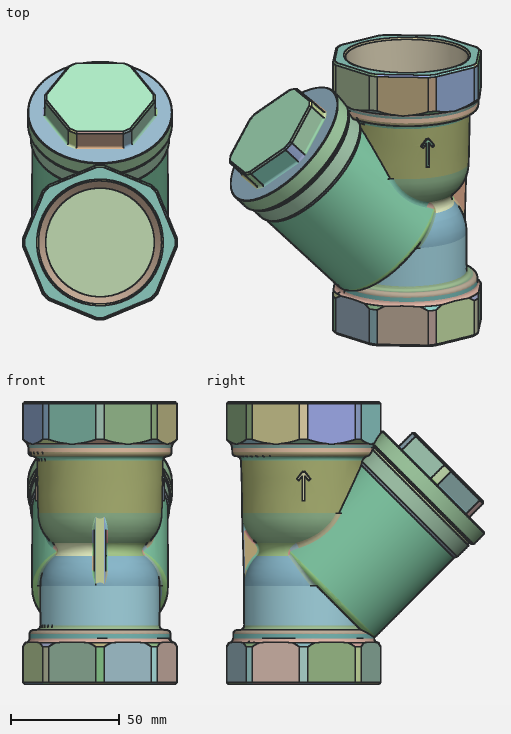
import cadquery as cq
import math

half_length = 65.0
nut_across_flats = 67.0
nut_corner_radius = 35.5
nut_edge_chamfer = 0.9
nut_shoulder = 47.7
nut_base = 45.8
upper_nut_foot = 45.05
upper_nut_foot_radius = 33.35
collar_shoulder = 43.85
collar_end = 39.9
blend_radius = 2.0

upper_collar_radius = 33.0
lower_collar_radius = 32.5
upper_body_radius = 29.0
upper_body_foot_radius = 28.5
lower_body_radius = 27.5

waist_blend_radius = 4.0
waist_z = -3.0
waist_radius = 20.55
upper_dome_z = 13.8
lower_dome_z = -19.7
waist_disc_radius = 45.0

thread_radius = 56.66 / 2
thread_depth = 19.5
socket_radius = 50.0 / 2
socket_depth = 29.7
mouth_chamfer = 0.8

branch_tilt = 45.0
branch_axis_z = -31.8
branch_radius = 31.3
branch_foot = 12.8
branch_foot_round = 2.8
branch_root_round = 2.0
neck_radius = 32.0
neck_start = 66.6
neck_shoulder = 68.0
neck_end = 75.3
neck_groove_radius = 31.3
cap_flange_radius = 66.5 / 2
cap_flange_base = 76.6
cap_flange_top = 84.72
cap_flange_chamfer = 0.3
cap_flange_base_chamfer = 0.8
cap_hex_top = 94.5
cap_hex_across_flats = 46.0
cap_hex_corner_radius = 25.4
cap_hex_chamfer = 0.8
cap_hex_foot_round = 1.0

rib_width = 5.3
rib_face_inset = 0.1
rib_inner_y = -18.0
rib_root_round = 1.1
rib_edge_round = 0.7

arrow_width = 1.2
arrow_bottom = 19.4
arrow_tip = 32.6
arrow_barb_length = 4.4
arrow_barb_angle = 38.0
arrow_outer_x = 29.6
arrow_inner_x = 27.0


def polygon_prism(sides, across_flats, bottom, top, turn):
    """Regular prism along Z, its first corner turned from +X by the given angle."""
    corner_diameter = across_flats / math.cos(math.pi / sides)
    prism = cq.Workplane("XY").workplane(offset=bottom).polygon(sides, corner_diameter)
    return prism.extrude(top - bottom).rotate((0, 0, 0), (0, 0, 1), turn)


def revolve_about_z(profile):
    """Close a (radius, z) profile drawn in the XZ plane and spin it about Z."""
    return profile.close().revolve(360, (0, 0, 0), (0, 1, 0))


def make_nut(turned_profile, end_face):
    """Octagonal end, limited by the turned shape that rounds its corners; its end face is chamfered."""
    prism = polygon_prism(8, nut_across_flats, -half_length, half_length, 0)
    nut = prism.intersect(revolve_about_z(turned_profile))
    return nut.faces(end_face).chamfer(nut_edge_chamfer)


def make_upper_nut():
    shoulder_radius = nut_corner_radius - (nut_shoulder - nut_base)
    profile = (
        cq.Workplane("XZ")
        .moveTo(0, collar_shoulder)
        .lineTo(upper_collar_radius, collar_shoulder)
        .lineTo(upper_nut_foot_radius, upper_nut_foot)
        .lineTo(shoulder_radius, nut_base)
        .lineTo(nut_corner_radius, nut_shoulder)
        .lineTo(nut_corner_radius, half_length)
        .lineTo(0, half_length)
    )
    return make_nut(profile, ">Z")


def make_lower_nut():
    profile = (
        cq.Workplane("XZ")
        .moveTo(0, -collar_shoulder)
        .lineTo(lower_collar_radius, -collar_shoulder)
        .radiusArc((lower_collar_radius + blend_radius, -nut_base), -blend_radius)
        .lineTo(nut_corner_radius, -nut_shoulder)
        .lineTo(nut_corner_radius, -half_length)
        .lineTo(0, -half_length)
    )
    return make_nut(profile, "<Z")


def dome_and_waist_points(body_radius, dome_z):
    """Middle and inner end of a dome that leaves the body wall and runs smoothly into the waist.

    The dome arc is tangent to the body wall at dome_z and to the waist arc at its inner end.
    """
    inset = waist_radius + waist_blend_radius - body_radius
    rise = waist_z - dome_z
    dome_radius = (inset**2 + rise**2 - waist_blend_radius**2) / (2 * (waist_blend_radius - inset))
    center_radius = body_radius - dome_radius
    end_angle = math.atan2(rise, inset + dome_radius)

    def on_dome(angle):
        return center_radius + dome_radius * math.cos(angle), dome_z + dome_radius * math.sin(angle)

    return on_dome(end_angle / 2), on_dome(end_angle)


def make_body():
    """Collars, body walls, domes and waist as one turned shape."""
    upper_middle, upper_inner = dome_and_waist_points(upper_body_foot_radius, upper_dome_z)
    lower_middle, lower_inner = dome_and_waist_points(lower_body_radius, lower_dome_z)
    profile = (
        cq.Workplane("XZ")
        .moveTo(0, collar_shoulder)
        .lineTo(upper_collar_radius, collar_shoulder)
        .lineTo(upper_collar_radius, collar_end + blend_radius)
        .radiusArc((upper_collar_radius - blend_radius, collar_end), blend_radius)
        .radiusArc((upper_body_radius, collar_end - blend_radius), -blend_radius)
        .lineTo(upper_body_foot_radius, upper_dome_z)
        .threePointArc(upper_middle, upper_inner)
        .threePointArc((waist_radius, waist_z), lower_inner)
        .threePointArc(lower_middle, (lower_body_radius, lower_dome_z))
        .lineTo(lower_body_radius, blend_radius - collar_end)
        .radiusArc((lower_body_radius + blend_radius, -collar_end), -blend_radius)
        .lineTo(lower_collar_radius - blend_radius, -collar_end)
        .radiusArc((lower_collar_radius, -collar_end - blend_radius), blend_radius)
        .lineTo(lower_collar_radius, -collar_shoulder)
        .lineTo(0, -collar_shoulder)
    )
    return revolve_about_z(profile)


def make_cap_hexagon():
    """Wrench hexagon with turned corners and a chamfered top."""
    prism = polygon_prism(6, cap_hex_across_flats, cap_flange_top, cap_hex_top, 0)
    height = cap_hex_top - cap_flange_top
    turned = cq.Workplane("XY").workplane(offset=cap_flange_top).circle(cap_hex_corner_radius).extrude(height)
    return prism.intersect(turned).faces(">Z").chamfer(cap_hex_chamfer)


def is_hex_foot(edge):
    """Short edge on the cap flange, around the foot of the wrench hexagon."""
    on_flange = abs(edge.Center().z - cap_flange_top) < 0.01
    return on_flange and edge.Length() < cap_hex_across_flats


def make_branch():
    """Strainer branch with its cap, turned along Z and then tilted onto the run."""
    profile = (
        cq.Workplane("XZ")
        .moveTo(0, branch_foot)
        .lineTo(branch_radius - branch_foot_round, branch_foot)
        .radiusArc((branch_radius, branch_foot + branch_foot_round), -branch_foot_round)
        .lineTo(branch_radius, neck_start)
        .lineTo(neck_radius, neck_shoulder)
        .lineTo(neck_radius, neck_end)
        .lineTo(neck_groove_radius, neck_end)
        .lineTo(neck_groove_radius, cap_flange_base)
        .lineTo(cap_flange_radius - cap_flange_base_chamfer, cap_flange_base)
        .lineTo(cap_flange_radius, cap_flange_base + cap_flange_base_chamfer)
        .lineTo(cap_flange_radius, cap_flange_top - cap_flange_chamfer)
        .lineTo(cap_flange_radius - cap_flange_chamfer, cap_flange_top)
        .lineTo(0, cap_flange_top)
    )
    branch = revolve_about_z(profile).union(make_cap_hexagon())
    hex_foot = [edge for edge in branch.edges().vals() if is_hex_foot(edge)]
    branch = branch.newObject([branch.val().fillet(cap_hex_foot_round, hex_foot)])
    return branch.rotate((0, 0, 0), (1, 0, 0), -branch_tilt).translate((0, 0, branch_axis_z))


def make_rib():
    """Rib whose outer face runs from the upper body wall to the lower one."""
    rib = (
        cq.Workplane("YZ")
        .moveTo(rib_inner_y, lower_dome_z)
        .lineTo(rib_face_inset - lower_body_radius, lower_dome_z)
        .lineTo(rib_face_inset - upper_body_foot_radius, upper_dome_z)
        .lineTo(rib_inner_y, upper_dome_z)
        .close()
        .extrude(rib_width / 2, both=True)
    )
    return rib.faces("<Y").edges("not |X").fillet(rib_edge_round)


def is_rib_root(edge):
    """Curved edge where a flank of the rib meets the domes or the waist."""
    on_flank = abs(abs(edge.Center().x) - rib_width / 2) < 0.01
    return on_flank and edge.geomType() != "LINE" and edge.BoundingBox().zlen > rib_edge_round


def is_branch_root(edge):
    """Free-form edge where the branch meets the domes or the waist."""
    beside_run = edge.Center().y < branch_radius / 2 and abs(edge.Center().x) > socket_radius / 2
    return beside_run and edge.geomType() == "BSPLINE" and edge.BoundingBox().zlen > 1


def make_waist_stretch():
    """Disc between the two body walls that takes in the roots of the branch but not its cap."""
    height = upper_dome_z - lower_dome_z
    return cq.Workplane("XY").workplane(offset=lower_dome_z).circle(waist_disc_radius).extrude(height)


def make_waist(body, branch):
    """Stretch between the two body walls, with the roots of the branch and the rib rounded.

    The roundings stop at the ends of the domes, so they are made on this stretch alone.
    """
    stretch = make_waist_stretch()
    waist = body.intersect(stretch).union(branch.intersect(stretch))
    roots = [edge for edge in waist.edges().vals() if is_branch_root(edge)]
    waist = waist.newObject([waist.val().fillet(branch_root_round, roots)])
    waist = waist.union(make_rib())
    roots = [edge for edge in waist.edges().vals() if is_rib_root(edge)]
    return waist.newObject([waist.val().fillet(rib_root_round, roots)])


def make_arrow(side):
    """Flow arrow pointing to +Z on one flank; side is -1 or +1 along X."""
    thickness = arrow_outer_x - arrow_inner_x
    center_x = side * (arrow_outer_x + arrow_inner_x) / 2

    def bar(length):
        stroke = cq.Workplane("XY").box(thickness, arrow_width, length)
        return stroke.translate((center_x, 0, arrow_tip - length / 2))

    arrow = bar(arrow_tip - arrow_bottom)
    for turn in (-arrow_barb_angle, arrow_barb_angle):
        arrow = arrow.union(bar(arrow_barb_length).rotate((0, 0, arrow_tip), (1, 0, arrow_tip), turn))
    return arrow


def make_socket():
    """Stepped bore of the upper end: mouth chamfer, thread, 45 degree step, socket."""
    step_end = thread_depth + thread_radius - socket_radius
    profile = (
        cq.Workplane("XZ")
        .moveTo(0, half_length)
        .lineTo(thread_radius + mouth_chamfer, half_length)
        .lineTo(thread_radius, half_length - mouth_chamfer)
        .lineTo(thread_radius, half_length - thread_depth)
        .lineTo(socket_radius, half_length - step_end)
        .lineTo(socket_radius, half_length - socket_depth)
        .lineTo(0, half_length - socket_depth)
    )
    return revolve_about_z(profile)


body = make_body()
branch = make_branch()
valve = body.union(make_upper_nut()).union(make_lower_nut()).union(branch)
valve = valve.cut(make_waist_stretch()).union(make_waist(body, branch))
for flank in (-1, 1):
    valve = valve.union(make_arrow(flank))

socket = make_socket()
valve = valve.cut(socket).cut(socket.mirror("XY"))

result = valve